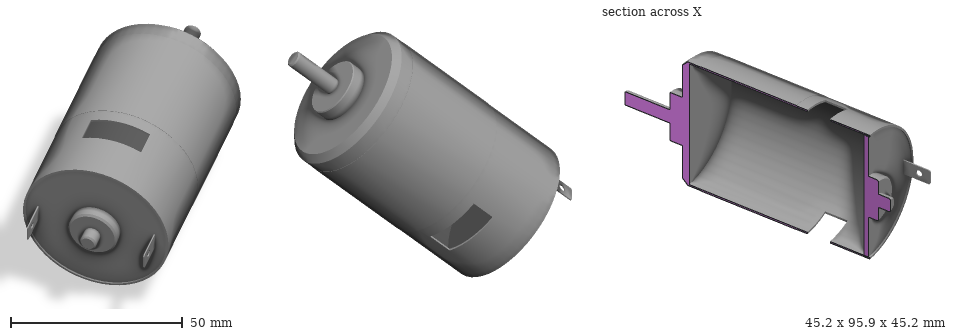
import cadquery as cq


band_radius = 22.6
can_radius = 22.5
can_wall = 0.7
can_length = 66.5
nose_chamfer = 2.0
band_rear = 26.0
band_front = 60.0

window_width = 18.2
window_rear = 14.1
window_front = 22.1

front_boss_radius = 8.8
front_boss_length = 4.3
front_boss_chamfer = 0.3
shaft_radius = 2.5
front_shaft_length = 16.0
front_shaft_chamfer = 0.4

cap_thickness = 1.9
cap_recess = 0.5
rear_boss_radius = 7.5
rear_boss_overhang = 3.1
rear_boss_chamfer = 0.6
stub_length = 4.1
stub_chamfer = 0.5
terminal_overhang = 9.1
terminal_width = 5.0
terminal_thickness = 0.4
terminal_offset = 18.0
terminal_corner = 0.6
terminal_hole_diameter = 2.1
terminal_hole_distance = 5.2

bore_radius = can_radius - can_wall


def disc(radius, y_start, y_end):
    """Solid cylinder on the motor axis between two Y positions."""
    return cq.Workplane("XZ", origin=(0, y_start, 0)).circle(radius).extrude(y_start - y_end)


def make_can():
    """Shell open at the rear, with the front boss and output shaft."""
    boss_front = can_length + front_boss_length
    shaft_front = boss_front + front_shaft_length
    shell = disc(can_radius, 0, can_length).faces(">Y").chamfer(nose_chamfer)
    shell = shell.union(disc(band_radius, band_rear, band_front))
    cavity = disc(bore_radius, 0, can_length - nose_chamfer - can_wall)
    window = cq.Workplane("XY").box(
        window_width, window_front - window_rear, 2 * band_radius, centered=(True, False, True)
    ).translate((0, window_rear, 0))
    boss = disc(front_boss_radius, can_length, boss_front).faces(">Y").chamfer(front_boss_chamfer)
    shaft = disc(shaft_radius, boss_front, shaft_front).faces(">Y").chamfer(front_shaft_chamfer)
    return shell.cut(cavity).cut(window).union(boss).union(shaft)


def make_terminal(x_center):
    """Flat blade behind the cap with a cross hole and rounded tip corners."""
    blade = (
        cq.Workplane("XY")
        .box(terminal_thickness, terminal_overhang + cap_recess, terminal_width)
        .translate((x_center, (cap_recess - terminal_overhang) / 2, 0))
        .edges("|X and <Y")
        .fillet(terminal_corner)
    )
    hole = (
        cq.Workplane("YZ", origin=(x_center, -terminal_hole_distance, 0))
        .circle(terminal_hole_diameter / 2)
        .extrude(terminal_thickness, both=True)
    )
    return blade.cut(hole)


def make_end_cap():
    """Disc closing the rear of the can, with its boss, shaft stub and two terminals."""
    boss_rear = -rear_boss_overhang
    stub_rear = boss_rear - stub_length
    cap = disc(bore_radius, cap_recess, cap_recess + cap_thickness)
    boss = disc(rear_boss_radius, boss_rear, cap_recess).faces("<Y").chamfer(rear_boss_chamfer)
    stub = disc(shaft_radius, stub_rear, boss_rear).faces("<Y").chamfer(stub_chamfer)
    cap = cap.union(boss).union(stub)
    for x_center in (-terminal_offset, terminal_offset):
        cap = cap.union(make_terminal(x_center))
    return cap


can = make_can()
end_cap = make_end_cap()

result = cq.Compound.makeCompound([can.val(), end_cap.val()])